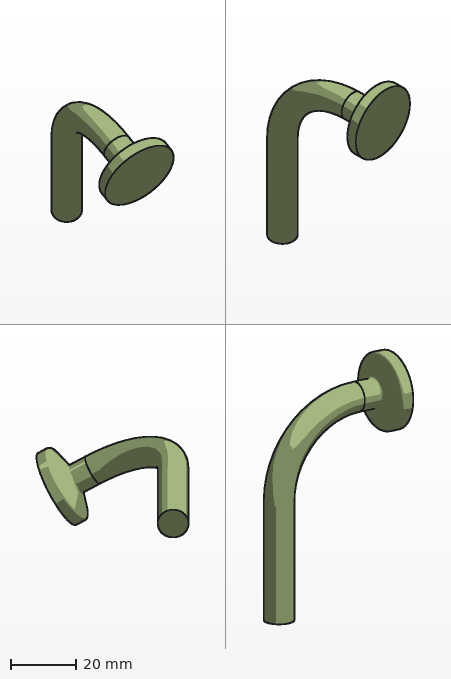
import cadquery as cq
import math

tube_radius = 9.5 / 2
straight_length = 38.1
bend_radius = 28.6

ferrule_length = 12.75
rim_radius = 25.0 / 2
rim_thickness = 3.7
cone_angle = 20
edge_round = 0.8

ferrule_axis_z = straight_length + bend_radius
ferrule_start_x = bend_radius
ferrule_end_x = ferrule_start_x + ferrule_length


def make_tube():
    """Straight length followed by a quarter bend."""
    bend_middle = bend_radius * math.sqrt(0.5)
    path = (
        cq.Workplane("XZ")
        .moveTo(0, 0)
        .lineTo(0, straight_length)
        .threePointArc(
            (bend_radius - bend_middle, straight_length + bend_middle),
            (ferrule_start_x, ferrule_axis_z),
        )
    )
    return cq.Workplane("XY").circle(tube_radius).sweep(path)


def make_ferrule():
    """Half outline revolved about the horizontal axis of the tube end."""
    cone_length = (rim_radius - tube_radius) * math.tan(math.radians(cone_angle))
    cone_end_x = ferrule_end_x - rim_thickness
    cone_start_x = cone_end_x - cone_length
    body = (
        cq.Workplane("XZ", origin=(0, 0, ferrule_axis_z))
        .moveTo(ferrule_start_x, 0)
        .lineTo(ferrule_start_x, tube_radius)
        .lineTo(cone_start_x, tube_radius)
        .lineTo(cone_end_x, rim_radius)
        .lineTo(ferrule_end_x, rim_radius)
        .lineTo(ferrule_end_x, 0)
        .close()
        .revolve(360, (0, 0, 0), (1, 0, 0))
    )
    cone_edges = body.faces("%CONE").edges("%CIRCLE")
    return cone_edges.fillet(edge_round)


tube = make_tube()
ferrule = make_ferrule()

result = cq.Compound.makeCompound([tube.val(), ferrule.val()])